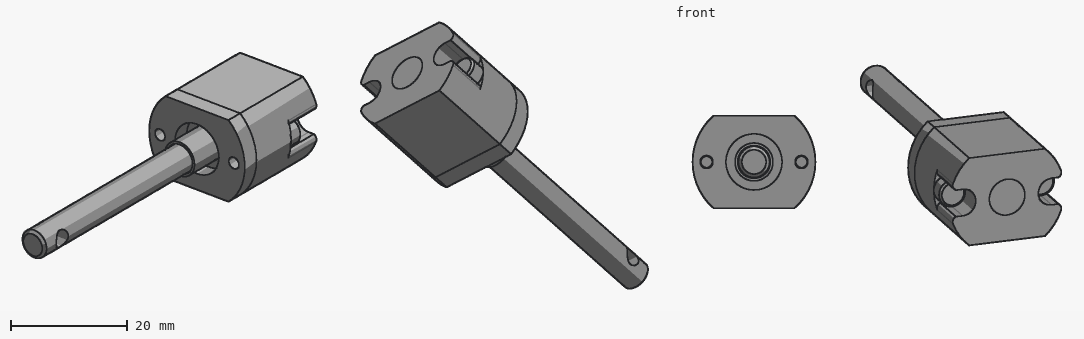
import cadquery as cq
import math

total_length = 65.15
housing_length = 17.15
plate_thickness = 3.2
body_radius = 10.55
body_height = 15.9
plate_bore_radius = 4.8

sleeve_radius = 3.25
sleeve_projection = 4.7
rod_radius = 2.7
rod_clearance = 0.1
tip_chamfer_length = 0.45
tip_chamfer_depth = 0.6
cross_hole_radius = 1.6
cross_hole_from_tip = 4.75

screw_offset = 8.15
screw_head_radius = 2.4
screw_head_height = 2.9
screw_head_chamfer = 0.4
screw_radius = 1.0
plate_hole_radius = 1.1
screw_engagement = 0.8

pocket_radius = screw_head_radius
pocket_depth = 7.7
lip_radius = 1.0
mouth_half_height = 3.65

plate_front = 0.0
housing_front = plate_front + plate_thickness
housing_rear = housing_front + housing_length
pocket_floor = housing_rear - pocket_depth
sleeve_front = plate_front - sleeve_projection
socket_floor = pocket_floor
rod_tip = housing_rear - total_length
screw_sides = (-1, 1)


def cylinder(radius, y_start, y_end, x=0.0):
    """Solid cylinder parallel to Y."""
    plane = cq.Plane(origin=(x, y_start, 0), xDir=(1, 0, 0), normal=(0, 1, 0))
    return cq.Workplane(plane).circle(radius).extrude(y_end - y_start)


def flatted_block(y_start, y_end):
    """Round bar along Y with flats on its top and bottom."""
    width = 2 * body_radius
    slab = cq.Workplane("XY").box(width, y_end - y_start, body_height)
    slab = slab.translate((0, (y_start + y_end) / 2, 0))
    return cylinder(body_radius, y_start, y_end).intersect(slab)


def head_pocket(side):
    """Round pocket whose mouth opens through the side wall between two rounded lips."""
    mouth_angle = math.asin(mouth_half_height / body_radius)
    mouth_x = body_radius * math.cos(mouth_angle)
    lip_center_x = (body_radius - lip_radius) * math.cos(mouth_angle)
    lip_center_z = (body_radius - lip_radius) * math.sin(mouth_angle)
    wall_angle = math.asin((pocket_radius - lip_center_z) / lip_radius)
    wall_x = lip_center_x + lip_radius * math.cos(wall_angle)
    middle_angle = (mouth_angle + wall_angle) / 2
    middle_x = lip_center_x + lip_radius * math.cos(middle_angle)
    middle_z = lip_center_z + lip_radius * math.sin(middle_angle)
    outside_x = body_radius + lip_radius

    plane = cq.Plane(origin=(0, pocket_floor, 0), xDir=(side, 0, 0), normal=(0, 1, 0))
    mouth = (
        cq.Workplane(plane)
        .moveTo(screw_offset, -pocket_radius)
        .lineTo(wall_x, -pocket_radius)
        .threePointArc((middle_x, -middle_z), (mouth_x, -mouth_half_height))
        .lineTo(outside_x, -mouth_half_height)
        .lineTo(outside_x, mouth_half_height)
        .lineTo(mouth_x, mouth_half_height)
        .threePointArc((middle_x, middle_z), (wall_x, pocket_radius))
        .lineTo(screw_offset, pocket_radius)
        .close()
        .extrude(pocket_depth)
    )
    seat = cylinder(pocket_radius, pocket_floor, housing_rear, side * screw_offset)
    return seat.union(mouth)


def make_housing():
    housing = flatted_block(housing_front, housing_rear)
    housing = housing.cut(cylinder(sleeve_radius, housing_front, housing_rear))
    for side in screw_sides:
        housing = housing.cut(head_pocket(side))
        housing = housing.cut(cylinder(screw_radius, housing_front, pocket_floor, side * screw_offset))
    return housing


def make_plate():
    plate = flatted_block(plate_front, housing_front)
    plate = plate.cut(cylinder(plate_bore_radius, plate_front, housing_front))
    for side in screw_sides:
        plate = plate.cut(cylinder(plate_hole_radius, plate_front, housing_front, side * screw_offset))
    return plate


def make_sleeve():
    sleeve = cylinder(sleeve_radius, sleeve_front, housing_rear)
    return sleeve.cut(cylinder(rod_radius + rod_clearance, sleeve_front, socket_floor))


def make_rod():
    rod = cylinder(rod_radius, rod_tip, socket_floor)
    rod = rod.faces("<Y").chamfer(tip_chamfer_length, tip_chamfer_depth)
    hole = (
        cq.Workplane("YZ")
        .center(rod_tip + cross_hole_from_tip, 0)
        .circle(cross_hole_radius)
        .extrude(rod_radius, both=True)
    )
    return rod.cut(hole)


def make_screw(side):
    x = side * screw_offset
    head = cylinder(screw_head_radius, pocket_floor, pocket_floor + screw_head_height, x)
    head = head.faces(">Y").chamfer(screw_head_chamfer)
    return head.union(cylinder(screw_radius, housing_front - screw_engagement, pocket_floor, x))


housing = make_housing()
plate = make_plate()
sleeve = make_sleeve()
rod = make_rod()
screws = [make_screw(side) for side in screw_sides]
result = cq.Compound.makeCompound(
    [housing.val(), plate.val(), sleeve.val(), rod.val(), *[screw.val() for screw in screws]]
)